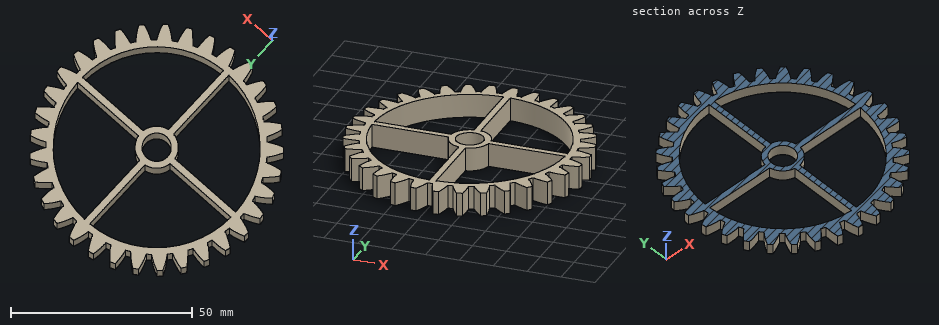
import cadquery as cq
import math

MODULE = 2.0
TOOTH_COUNT = 33
ADDENDUM = MODULE
DEDENDUM = 1.25 * MODULE

TIP_THICKNESS = 1.67
PITCH_THICKNESS = math.pi * MODULE / 2
ROOT_THICKNESS = 4.35

THICKNESS = 7.0
RIM_WALL = 2.0
BORE_DIAMETER = 8.0
HUB_WALL = 2.0
SPOKE_WIDTH = 2.0
SPOKE_COUNT = 4

PITCH_RADIUS = MODULE * TOOTH_COUNT / 2
TIP_RADIUS = PITCH_RADIUS + ADDENDUM
ROOT_RADIUS = PITCH_RADIUS - DEDENDUM
RIM_INNER_RADIUS = ROOT_RADIUS - RIM_WALL
BORE_RADIUS = BORE_DIAMETER / 2
HUB_RADIUS = BORE_RADIUS + HUB_WALL

TOOTH_PITCH_ANGLE = 2 * math.pi / TOOTH_COUNT
FIRST_TOOTH_ANGLE = math.pi / 2


def polar(radius, angle):
    """Point at a radius and an angle from +X."""
    return (radius * math.cos(angle), radius * math.sin(angle))


def half_angle(thickness, radius):
    """Half the angle that a tooth of the given thickness spans at a radius."""
    return thickness / radius / 2


def gear_blank():
    """Solid disc with teeth around its edge; each flank is a single arc."""
    tip_half = half_angle(TIP_THICKNESS, TIP_RADIUS)
    pitch_half = half_angle(PITCH_THICKNESS, PITCH_RADIUS)
    root_half = half_angle(ROOT_THICKNESS, ROOT_RADIUS)
    outline = cq.Workplane("XY").moveTo(*polar(ROOT_RADIUS, FIRST_TOOTH_ANGLE - root_half))
    for tooth in range(TOOTH_COUNT):
        centre = FIRST_TOOTH_ANGLE + tooth * TOOTH_PITCH_ANGLE
        gap_centre = centre + TOOTH_PITCH_ANGLE / 2
        next_centre = centre + TOOTH_PITCH_ANGLE
        outline = outline.threePointArc(
            polar(PITCH_RADIUS, centre - pitch_half), polar(TIP_RADIUS, centre - tip_half)
        )
        outline = outline.threePointArc(
            polar(TIP_RADIUS, centre), polar(TIP_RADIUS, centre + tip_half)
        )
        outline = outline.threePointArc(
            polar(PITCH_RADIUS, centre + pitch_half), polar(ROOT_RADIUS, centre + root_half)
        )
        outline = outline.threePointArc(
            polar(ROOT_RADIUS, gap_centre), polar(ROOT_RADIUS, next_centre - root_half)
        )
    return outline.close().extrude(THICKNESS)


def disc(radius):
    """Full-thickness disc on the gear axis."""
    return cq.Workplane("XY").circle(radius).extrude(THICKNESS)


def spokes():
    """Radial bars that reach from the axis into the rim."""
    length = RIM_INNER_RADIUS + RIM_WALL / 2
    bar = cq.Workplane("XY").box(length, SPOKE_WIDTH, THICKNESS, centered=(False, True, False))
    bars = bar
    for i in range(1, SPOKE_COUNT):
        bars = bars.union(bar.rotate((0, 0, 0), (0, 0, 1), i * 360 / SPOKE_COUNT))
    return bars


rim = gear_blank().cut(disc(RIM_INNER_RADIUS))
wheel = rim.union(spokes()).union(disc(HUB_RADIUS))
result = wheel.cut(disc(BORE_RADIUS))